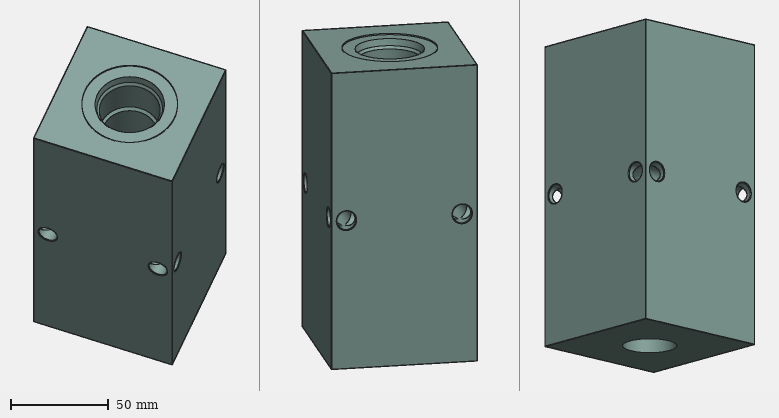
import cadquery as cq

WIDTH = 76.2
HEIGHT = 158.75
EDGE_CHAMFER = 0.25

SPOTFACE_DIAMETER = 49.0
SPOTFACE_DEPTH = 0.7
SEAT_MOUTH_DIAMETER = 35.5
SEAT_FLOOR_DIAMETER = 33.6
SEAT_DEPTH = 3.5
SEAT_SHOULDER_DROP = 1.4
THREAD_BORE_DIAMETER = 31.1
THREAD_BORE_DEPTH = 23.0
THREAD_BORE_CONE_DEPTH = 1.1
FLOW_BORE_DIAMETER = 27.8

MOUNT_HOLE_DIAMETER = 9.9
MOUNT_HOLE_CHAMFER = 0.4
MOUNT_HOLE_OFFSET = 30.2


def make_block():
    """Square block standing on Z = 0, with every outer edge chamfered."""
    block = cq.Workplane("XY").box(WIDTH, WIDTH, HEIGHT, centered=(True, True, False))
    return block.edges().chamfer(EDGE_CHAMFER)


def make_port_and_bore():
    """Revolved cutter: spotface, tapered seal seat, thread bore with a conical floor, through bore."""
    spotface_z = HEIGHT - SPOTFACE_DEPTH
    seat_floor_z = spotface_z - SEAT_DEPTH
    thread_top_z = seat_floor_z - SEAT_SHOULDER_DROP
    thread_bottom_z = spotface_z - THREAD_BORE_DEPTH
    profile = [
        (0, 0),
        (FLOW_BORE_DIAMETER / 2, 0),
        (FLOW_BORE_DIAMETER / 2, thread_bottom_z - THREAD_BORE_CONE_DEPTH),
        (THREAD_BORE_DIAMETER / 2, thread_bottom_z),
        (THREAD_BORE_DIAMETER / 2, thread_top_z),
        (SEAT_FLOOR_DIAMETER / 2, seat_floor_z),
        (SEAT_MOUTH_DIAMETER / 2, spotface_z),
        (SPOTFACE_DIAMETER / 2, spotface_z),
        (SPOTFACE_DIAMETER / 2, HEIGHT),
        (0, HEIGHT),
    ]
    return cq.Workplane("YZ").polyline(profile).close().revolve(360, (0, 0, 0), (0, 1, 0))


def make_mount_hole():
    """Cutter along X through the block, with a chamfer at both mouths."""
    radius = MOUNT_HOLE_DIAMETER / 2
    mouth_radius = radius + MOUNT_HOLE_CHAMFER
    half_width = WIDTH / 2
    profile = [
        (-half_width, 0),
        (-half_width, mouth_radius),
        (-half_width + MOUNT_HOLE_CHAMFER, radius),
        (half_width - MOUNT_HOLE_CHAMFER, radius),
        (half_width, mouth_radius),
        (half_width, 0),
    ]
    hole = cq.Workplane("XY").polyline(profile).close().revolve(360, (0, 0, 0), (1, 0, 0))
    return hole.translate((0, 0, HEIGHT / 2))


result = make_block().cut(make_port_and_bore())

mount_hole_x = make_mount_hole()
mount_hole_y = mount_hole_x.rotate((0, 0, 0), (0, 0, 1), 90)
for offset in (-MOUNT_HOLE_OFFSET, MOUNT_HOLE_OFFSET):
    result = result.cut(mount_hole_x.translate((0, offset, 0)))
    result = result.cut(mount_hole_y.translate((offset, 0, 0)))